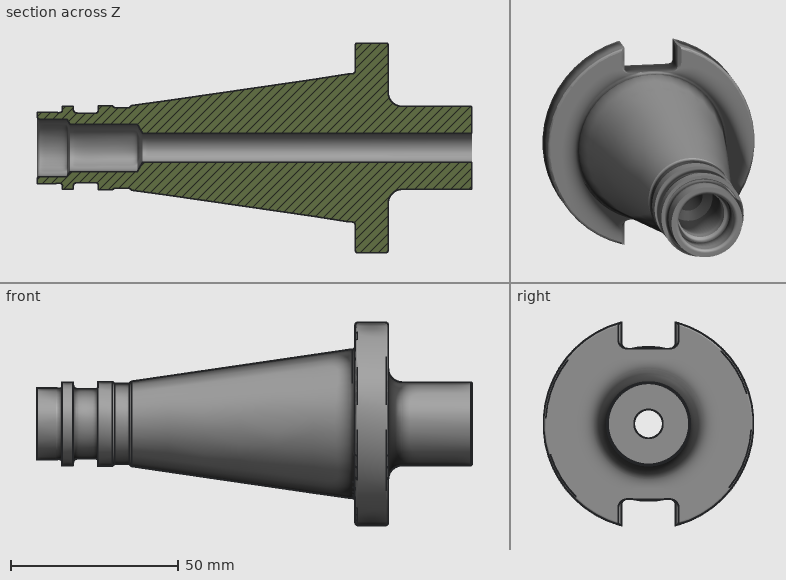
import cadquery as cq
OVERALL_LENGTH = 130.0
FLANGE_START = 95.0
FLANGE_WIDTH = 10.0
FLANGE_RADIUS = 31.4
FLANGE_FILLET = 0.7

GAUGE_RADIUS = 44.45 / 2
GAUGE_TO_FLANGE = 1.6
TAPER_PER_DIAMETER = 7 / 24
TAPER_START = 28.3
TAPER_ROOT_FILLET = 0.8

PILOT_RADIUS = 10.75
RING_START = 7.5
RING_END = 10.95
RING_RADIUS = 12.5
RING_CHAMFER = 0.15
RING_FILLET = 1.0
NECK_RADIUS = 10.5
LAND_START = 18.2
LAND_END = 23.2
LAND_RADIUS = 12.65
LAND_FILLET = 0.4
RELIEF_RADIUS = 12.1
RELIEF_RAMP = 0.7

UNDERCUT_START = 5.7
UNDERCUT_RAMP = 0.5
UNDERCUT_DEPTH = 0.1
UNDERCUT_FACE_DEPTH = 0.1
UNDERCUT_FILLET = 0.7
UNDERCUT_OUTER_RADIUS = 11.55

NOSE_RADIUS = 12.5
NOSE_FILLET = 4.0
NOSE_CHAMFER = 0.4

MOUTH_FILLET = 1.0
COUNTERBORE_RADIUS = 8.5
COUNTERBORE_DEPTH = 9.0
THREAD_LEAD_IN = 0.9
THREAD_RADIUS = 7.0
THREAD_DEPTH = 30.0
DRILL_TIP_LENGTH = 1.6
THROUGH_RADIUS = 4.25

SLOT_WIDTH = 16.1
SLOT_FLOOR = 22.5
SLOT_CORNER_RADIUS = 1.6
SLOT_CHAMFER_WIDTH = 1.0
SLOT_CHAMFER_DEPTH = 0.8

FLANGE_END = FLANGE_START + FLANGE_WIDTH
GAUGE_PLANE = FLANGE_START - GAUGE_TO_FLANGE
TAPER_START_RADIUS = GAUGE_RADIUS - (GAUGE_PLANE - TAPER_START) * TAPER_PER_DIAMETER / 2
UNDERCUT_RADIUS = PILOT_RADIUS - UNDERCUT_DEPTH
UNDERCUT_WALL = RING_START + UNDERCUT_FACE_DEPTH


def revolve_about_x(profile):
    return profile.close().revolve(360, (0, 0, 0), (1, 0, 0))


def turned_body():
    """Solid outer shape, from the pilot at the front to the nose at the back."""
    profile = (
        cq.Workplane("XZ")
        .lineTo(0, PILOT_RADIUS)
        .lineTo(UNDERCUT_START, PILOT_RADIUS)
        .lineTo(UNDERCUT_START + UNDERCUT_RAMP, UNDERCUT_RADIUS)
        .lineTo(UNDERCUT_WALL - UNDERCUT_FILLET, UNDERCUT_RADIUS)
        .radiusArc((UNDERCUT_WALL, UNDERCUT_RADIUS + UNDERCUT_FILLET), -UNDERCUT_FILLET)
        .lineTo(RING_START, UNDERCUT_OUTER_RADIUS)
        .lineTo(RING_START, RING_RADIUS)
        .lineTo(RING_END - RING_CHAMFER, RING_RADIUS)
        .lineTo(RING_END, RING_RADIUS - RING_CHAMFER)
        .lineTo(RING_END, NECK_RADIUS + RING_FILLET)
        .radiusArc((RING_END + RING_FILLET, NECK_RADIUS), -RING_FILLET)
        .lineTo(LAND_START - LAND_FILLET, NECK_RADIUS)
        .radiusArc((LAND_START, NECK_RADIUS + LAND_FILLET), -LAND_FILLET)
        .lineTo(LAND_START, LAND_RADIUS)
        .lineTo(LAND_END - RELIEF_RAMP, LAND_RADIUS)
        .lineTo(LAND_END, RELIEF_RADIUS)
        .lineTo(TAPER_START - RELIEF_RAMP, RELIEF_RADIUS)
        .lineTo(TAPER_START, TAPER_START_RADIUS)
        .lineTo(GAUGE_PLANE, GAUGE_RADIUS)
        .lineTo(FLANGE_START - TAPER_ROOT_FILLET, GAUGE_RADIUS)
        .radiusArc((FLANGE_START, GAUGE_RADIUS + TAPER_ROOT_FILLET), -TAPER_ROOT_FILLET)
        .lineTo(FLANGE_START, FLANGE_RADIUS - FLANGE_FILLET)
        .radiusArc((FLANGE_START + FLANGE_FILLET, FLANGE_RADIUS), FLANGE_FILLET)
        .lineTo(FLANGE_END - FLANGE_FILLET, FLANGE_RADIUS)
        .radiusArc((FLANGE_END, FLANGE_RADIUS - FLANGE_FILLET), FLANGE_FILLET)
        .lineTo(FLANGE_END, NOSE_RADIUS + NOSE_FILLET)
        .radiusArc((FLANGE_END + NOSE_FILLET, NOSE_RADIUS), -NOSE_FILLET)
        .lineTo(OVERALL_LENGTH - NOSE_CHAMFER, NOSE_RADIUS)
        .lineTo(OVERALL_LENGTH, NOSE_RADIUS - NOSE_CHAMFER)
        .lineTo(OVERALL_LENGTH, 0)
    )
    return revolve_about_x(profile)


def stepped_bore():
    """Cutter for the rounded mouth, counterbore, thread core and through hole."""
    profile = (
        cq.Workplane("XZ")
        .lineTo(0, COUNTERBORE_RADIUS + MOUTH_FILLET)
        .radiusArc((MOUTH_FILLET, COUNTERBORE_RADIUS), -MOUTH_FILLET)
        .lineTo(COUNTERBORE_DEPTH, COUNTERBORE_RADIUS)
        .lineTo(COUNTERBORE_DEPTH + THREAD_LEAD_IN, THREAD_RADIUS)
        .lineTo(THREAD_DEPTH, THREAD_RADIUS)
        .lineTo(THREAD_DEPTH + DRILL_TIP_LENGTH, THROUGH_RADIUS)
        .lineTo(OVERALL_LENGTH, THROUGH_RADIUS)
        .lineTo(OVERALL_LENGTH, 0)
    )
    return revolve_about_x(profile)


def slot_outline(workplane, widening):
    """Slot cross-section with its side walls moved out by `widening`; the floor stays in place."""
    half_width = SLOT_WIDTH / 2 + widening
    corner = SLOT_CORNER_RADIUS + widening
    return (
        workplane.moveTo(-half_width, FLANGE_RADIUS)
        .lineTo(-half_width, SLOT_FLOOR + corner)
        .radiusArc((-half_width + corner, SLOT_FLOOR), -corner)
        .lineTo(half_width - corner, SLOT_FLOOR)
        .radiusArc((half_width, SLOT_FLOOR + corner), -corner)
        .lineTo(half_width, FLANGE_RADIUS)
        .close()
    )


def slot_flare(face_x, depth):
    """Cutter that is wide at the flange face and narrows to the slot `depth` away along X."""
    face = cq.Workplane("YZ", origin=(face_x, 0, 0))
    wide_end = slot_outline(face, SLOT_CHAMFER_WIDTH)
    return slot_outline(wide_end.workplane(depth), 0).loft(ruled=True)


def driving_slot():
    """Cutter for the +Z slot, flared at both flange faces to chamfer the wall edges."""
    start = cq.Workplane("YZ", origin=(FLANGE_START, 0, 0))
    cutter = slot_outline(start, 0).extrude(FLANGE_WIDTH)
    cutter = cutter.union(slot_flare(FLANGE_START, SLOT_CHAMFER_DEPTH))
    return cutter.union(slot_flare(FLANGE_END, -SLOT_CHAMFER_DEPTH))


result = turned_body().cut(stepped_bore())
for slot_angle in (0, 180):
    result = result.cut(driving_slot().rotate((0, 0, 0), (1, 0, 0), slot_angle))